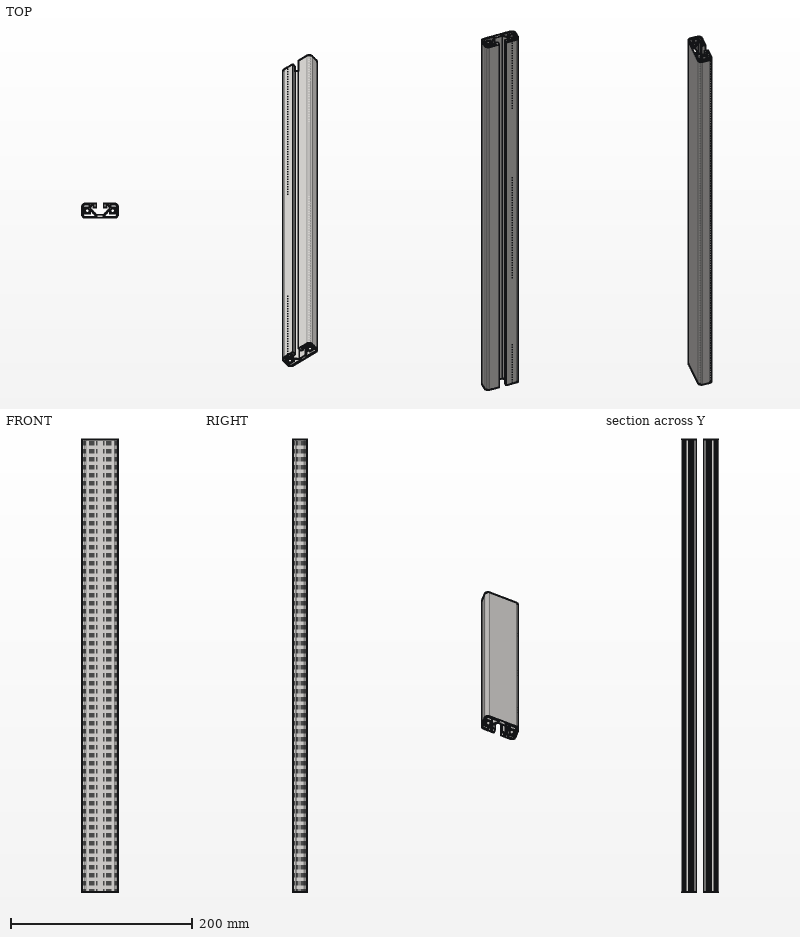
import cadquery as cq

WIDTH = 40.0
HEIGHT = 16.0
LENGTH = 500.0
CORNER_RADIUS = 4.0
WALL = 1.5

SLOT_OPENING = 8.0
SLOT_DEPTH = 12.25
SLOT_WIDTH = 20.0
SLOT_FLOOR_WIDTH = 8.4
LIP_THICKNESS = 4.5
LIP_WIDTH = 3.2
LIP_DROP = 0.5
LIP_FLANK_HEIGHT = 0.8
RELIEF_DEPTH = 3.4
RELIEF_ROOF = 2.0
RELIEF_TIP_WIDTH = 1.6

CHAMBER_RADIUS = 1.25
CHAMBER_ROOF_END = 11.8
CHAMBER_FLOOR_END = 3.5
CORE_X = 14.0
CORE_WIDTH = 6.25
CORE_TOP = 4.0
CORE_BOTTOM = 3.3
CORE_NECK_X = 11.75
CORE_HOLE_DIAMETER = 4.8
RECESS_WIDTH = 1.35

HALF_WIDTH = WIDTH / 2
HALF_HEIGHT = HEIGHT / 2


def outer_block():
    block = cq.Workplane("XY").rect(WIDTH, HEIGHT).extrude(LENGTH)
    return block.edges("|Z").fillet(CORNER_RADIUS)


def slot_half():
    """The -X half of the slot, with a 45 degree relief behind the lip."""
    opening_x = -SLOT_OPENING / 2
    lip_x = opening_x - LIP_WIDTH
    lip_y = HALF_HEIGHT - LIP_THICKNESS
    flank_bottom = lip_y - LIP_DROP
    side_x = -SLOT_WIDTH / 2
    relief_y = HALF_HEIGHT - RELIEF_DEPTH
    tip_y = HALF_HEIGHT - RELIEF_ROOF
    tip_x = side_x + tip_y - relief_y
    floor_x = -SLOT_FLOOR_WIDTH / 2
    floor_y = HALF_HEIGHT - SLOT_DEPTH
    web_top_y = floor_y + floor_x - side_x
    outline = [
        (0, HALF_HEIGHT),
        (opening_x, HALF_HEIGHT),
        (opening_x, lip_y),
        (lip_x, flank_bottom),
        (lip_x, flank_bottom + LIP_FLANK_HEIGHT),
        (tip_x + RELIEF_TIP_WIDTH, tip_y),
        (tip_x, tip_y),
        (side_x, relief_y),
        (side_x, web_top_y),
        (floor_x, floor_y),
        (0, floor_y),
    ]
    return cq.Workplane("XY").polyline(outline).close().extrude(LENGTH)


def chamber():
    """The -X chamber; it wraps round the core, which hangs on the slot web by a neck."""
    side_x = -HALF_WIDTH + WALL
    roof_y = HALF_HEIGHT - WALL
    core_left = -CORE_X - CORE_WIDTH / 2
    core_right = -CORE_X + CORE_WIDTH / 2
    recess_x = core_right + RECESS_WIDTH
    recess_y = -roof_y - CHAMBER_FLOOR_END - recess_x
    outline = [
        (side_x, roof_y),
        (side_x, -roof_y),
        (-CHAMBER_FLOOR_END, -roof_y),
        (recess_x, recess_y),
        (core_right, recess_y),
        (core_right, -CORE_BOTTOM),
        (core_left, -CORE_BOTTOM),
        (core_left, CORE_TOP),
        (-CORE_NECK_X, CORE_TOP),
        (-CHAMBER_ROOF_END, roof_y),
    ]
    hollow = cq.Workplane("XY").polyline(outline).close().extrude(LENGTH)
    return hollow.edges("|Z and <X").fillet(CHAMBER_RADIUS)


def core_hole():
    return cq.Workplane("XY").center(-CORE_X, 0).circle(CORE_HOLE_DIAMETER / 2).extrude(LENGTH)


result = outer_block()
for cutter in (slot_half(), chamber(), core_hole()):
    result = result.cut(cutter).cut(cutter.mirror("YZ"))